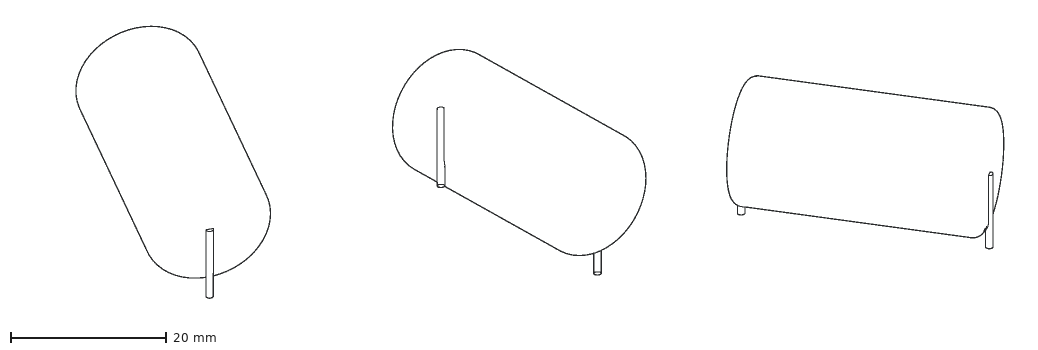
import cadquery as cq

overall_length = 34.0
overall_height = 19.5
body_diameter = 17.0
edge_radius = 1.2
pin_diameter = 1.0

body_length = overall_length - pin_diameter
pin_length = overall_height - body_diameter / 2


def make_body():
    """Cylinder along X, centred on the origin, with rounded end edges."""
    return (
        cq.Workplane("YZ", origin=(-body_length / 2, 0, 0))
        .circle(body_diameter / 2)
        .extrude(body_length)
        .faces("<X or >X")
        .edges()
        .fillet(edge_radius)
    )


def make_pin(x):
    """Straight round pin running down from the body axis."""
    return (
        cq.Workplane("XY")
        .center(x, 0)
        .circle(pin_diameter / 2)
        .extrude(-pin_length)
    )


result = make_body()
for side in (-1, 1):
    result = result.union(make_pin(side * body_length / 2))